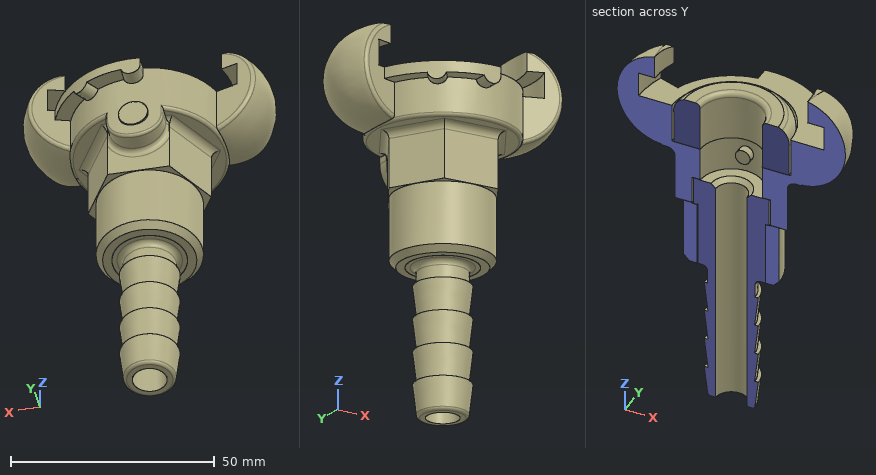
import cadquery as cq
import math

COLLAR_BOTTOM_Z = 39.1
COLLAR_TOP_Z = 57.0
PIN_Z = 70.2
DRUM_BOTTOM_Z = 71.8
FLANGE_TOP_Z = 84.9
SEAL_TOP_Z = 87.7
CLAW_TOP_Z = 98.0

PICK_MARGIN = 0.1

HEX_ACROSS_FLATS = 26.9
DRUM_RADIUS = 19.7
DRUM_EDGE_FILLET = 0.9
HEX_NECK_FILLET = 2.0
RIM_RADIUS = 23.5
RIM_THICKNESS = 3.0
NUB_RADIUS = 2.45
NUB_DROP = 1.8
NUB_ANGLES = (0, -35)

SEAL_RECESS_RADIUS = 16.3
SEAL_RECESS_DEPTH = 10.8
BORE_RADIUS = 8.48
TAIL_SEAT_RADIUS = 10.73
TAIL_TOP_Z = 64.7

CLAW_ARC_RADIUS = 13.1
CLAW_ARC_Z = 85.2
CLAW_REACH = 31.5
CLAW_ARC_X = CLAW_REACH - CLAW_ARC_RADIUS
CLAW_BARREL_RADIUS = 17.6
CLAW_BARREL_X = CLAW_REACH - CLAW_BARREL_RADIUS
CLAW_HALF_ANGLE = 17.2
CLAW_WEDGE_APEX_X = -5.2
CLAW_ROOT_X = 16.2
CLAW_EDGE_FILLET = 1.0
CLAW_CROWN_RADIUS = 21.6
CLAW_TIP_RADIUS = 21.0
CLAW_SLOT_RADIUS = 25.4
CLAW_SLOT_HEIGHT = 6.7

BOSS_RADIUS = 7.2
BOSS_FACE_RADIUS = DRUM_RADIUS
BOSS_EDGE_FILLET = 0.7
BOSS_ROOT_FILLET = 1.5
PIN_RADIUS = 2.01
PIN_TIP_Y = 6.3
PIN_HEAD_RADIUS = 3.675
PIN_HEAD_TOP_Y = 20.0
PIN_HEAD_THICKNESS = 2.0

SEAL_RADIUS = 15.9
SEAL_STRAIGHT_HEIGHT = 8.8
SEAL_FLANGE_RADIUS = 15.7
SEAL_SHOULDER_RADIUS = 14.0
SEAL_SHOULDER_Z = 87.1
SEAL_FACE_RADIUS = 12.9
SEAL_MOUTH_FILLET = 1.4

COLLAR_RADIUS = 13.2
COLLAR_BORE_RADIUS = 9.3
COLLAR_CHAMFER = 1.7

TAIL_FLANGE_RADIUS = 10.5
TAIL_SHANK_RADIUS = 9.26
NECK_RADIUS = 6.6
NECK_FILLET = 1.5
BARB_COUNT = 4
BARB_PITCH = 8.5
BARB_TOP_RADIUS = 7.5
BARB_END_RADIUS = 6.5
TAIL_BORE_RADIUS = 4.26
TAIL_MOUTH_RADIUS = 5.5
TAIL_END_FILLET = 0.9


def disc(radius, bottom_z, top_z):
    """Cylinder on the main axis between two heights."""
    return cq.Workplane("XY").workplane(offset=bottom_z).circle(radius).extrude(top_z - bottom_z)


def rod(radius, start_y, end_y):
    """Cylinder along +Y at pin height."""
    plane = cq.Plane(origin=(0, start_y, PIN_Z), xDir=(1, 0, 0), normal=(0, 1, 0))
    return cq.Workplane(plane).circle(radius).extrude(end_y - start_y)


def opposite(shape):
    """The same shape turned half a turn about the main axis."""
    return shape.rotate((0, 0, 0), (0, 0, 1), 180)


def make_hex_and_drum():
    """Hexagon below the drum, with a filleted neck and a rounded lower drum edge."""
    corner_diameter = HEX_ACROSS_FLATS / math.cos(math.radians(30))
    hexagon = (
        cq.Workplane("XY")
        .workplane(offset=COLLAR_TOP_Z)
        .polygon(6, corner_diameter)
        .extrude(DRUM_BOTTOM_Z - COLLAR_TOP_Z)
    )
    drum = disc(DRUM_RADIUS, DRUM_BOTTOM_Z, FLANGE_TOP_Z).faces("<Z").edges().fillet(DRUM_EDGE_FILLET)
    blank = hexagon.union(drum)
    neck = cq.selectors.BoxSelector(
        (-corner_diameter, -corner_diameter, DRUM_BOTTOM_Z - PICK_MARGIN),
        (corner_diameter, corner_diameter, DRUM_BOTTOM_Z + PICK_MARGIN),
    )
    return blank.edges(neck).edges("%LINE").fillet(HEX_NECK_FILLET)


def make_boss():
    """Boss for the pin: half-round below, straight-sided up into the drum, its face as round as the drum.

    Its rounded root stops at the sides of the hexagon face that it stands on.
    """
    root_y = HEX_ACROSS_FLATS / 2
    top_z = DRUM_BOTTOM_Z + 2 * DRUM_EDGE_FILLET
    height = top_z - PIN_Z
    plane = cq.Plane(origin=(0, 0, PIN_Z), xDir=(-1, 0, 0), normal=(0, 1, 0))
    boss = (
        cq.Workplane(plane)
        .moveTo(-BOSS_RADIUS, height)
        .lineTo(-BOSS_RADIUS, 0)
        .threePointArc((0, -BOSS_RADIUS), (BOSS_RADIUS, 0))
        .lineTo(BOSS_RADIUS, height)
        .close()
        .extrude(RIM_RADIUS)
        .intersect(disc(BOSS_FACE_RADIUS, 0, top_z))
    )
    below_top = cq.selectors.BoxSelector(
        (-RIM_RADIUS, root_y, 0), (RIM_RADIUS, RIM_RADIUS, top_z - PICK_MARGIN)
    )
    boss = boss.edges(below_top).edges(">Y").fillet(BOSS_EDGE_FILLET)
    pad_depth = root_y - BORE_RADIUS
    pad = (
        cq.Workplane("XY")
        .box(4 * BOSS_RADIUS, pad_depth, top_z - COLLAR_TOP_Z, centered=(True, False, False))
        .translate((0, BORE_RADIUS, COLLAR_TOP_Z))
    )
    boss = pad.union(boss.cut(rod(4 * BOSS_RADIUS, 0, BORE_RADIUS)))
    root_edges = cq.selectors.BoxSelector(
        (-BOSS_RADIUS - PICK_MARGIN, root_y - PICK_MARGIN, COLLAR_TOP_Z + PICK_MARGIN),
        (BOSS_RADIUS + PICK_MARGIN, root_y + PICK_MARGIN, top_z - PICK_MARGIN),
    )
    boss = boss.edges(root_edges).fillet(BOSS_ROOT_FILLET)
    hex_side = HEX_ACROSS_FLATS * math.tan(math.radians(30))
    return boss.intersect(cq.Workplane("XY").box(hex_side, 4 * RIM_RADIUS, 2 * top_z))


def make_nub(angle):
    """Round-bottomed nub under the rim, pointing along -Y and then turned about the main axis."""
    centre_z = FLANGE_TOP_Z - RIM_THICKNESS - NUB_DROP + NUB_RADIUS
    nub = (
        cq.Workplane("XZ")
        .workplane(offset=SEAL_RECESS_RADIUS)
        .moveTo(-NUB_RADIUS, FLANGE_TOP_Z)
        .lineTo(-NUB_RADIUS, centre_z)
        .threePointArc((0, centre_z - NUB_RADIUS), (NUB_RADIUS, centre_z))
        .lineTo(NUB_RADIUS, FLANGE_TOP_Z)
        .close()
        .extrude(RIM_RADIUS - SEAL_RECESS_RADIUS)
    )
    nub = nub.intersect(disc(RIM_RADIUS, 0, FLANGE_TOP_Z))
    return nub.rotate((0, 0, 0), (0, 0, 1), angle)


def make_rim_sector():
    """Locking rim from the -X claw to the -Y direction, with its nubs; the first nub rounds off its end."""
    quarter = (
        cq.Workplane("XY")
        .box(RIM_RADIUS, RIM_RADIUS, FLANGE_TOP_Z, centered=False)
        .translate((-RIM_RADIUS, -RIM_RADIUS, 0))
    )
    sector = disc(RIM_RADIUS, FLANGE_TOP_Z - RIM_THICKNESS, FLANGE_TOP_Z).intersect(quarter)
    for angle in NUB_ANGLES:
        sector = sector.union(make_nub(angle))
    return sector


def make_claw():
    """Claw on the +X side: a barrel-shaped hook cut to a wedge, hollowed by its tip and slot."""
    arc_offset = CLAW_ARC_X - CLAW_BARREL_X
    axis_rise = math.sqrt(CLAW_ARC_RADIUS**2 - arc_offset**2)
    barrel = (
        cq.Workplane("XZ")
        .moveTo(0, -axis_rise)
        .threePointArc((CLAW_BARREL_RADIUS, 0), (0, axis_rise))
        .close()
        .revolve(360, (0, 0, 0), (0, 1, 0))
        .translate((CLAW_BARREL_X, 0, CLAW_ARC_Z))
    )
    slope = math.tan(math.radians(CLAW_HALF_ANGLE))
    root_half_width = (CLAW_ROOT_X - CLAW_WEDGE_APEX_X) * slope
    outer_half_width = (CLAW_REACH - CLAW_WEDGE_APEX_X) * slope
    wedge = (
        cq.Workplane("XY")
        .polyline([
            (CLAW_ROOT_X, -root_half_width),
            (CLAW_REACH, -outer_half_width),
            (CLAW_REACH, outer_half_width),
            (CLAW_ROOT_X, root_half_width),
        ])
        .close()
        .extrude(CLAW_TOP_Z + CLAW_ARC_RADIUS)
    )
    outer_edges = cq.selectors.BoxSelector(
        (CLAW_TIP_RADIUS, -outer_half_width, 0), (CLAW_REACH, outer_half_width, CLAW_TOP_Z)
    )
    claw = barrel.intersect(wedge).edges(outer_edges).fillet(CLAW_EDGE_FILLET)
    crown = (
        cq.Workplane("YZ")
        .center(0, CLAW_TOP_Z - CLAW_CROWN_RADIUS)
        .circle(CLAW_CROWN_RADIUS)
        .extrude(CLAW_REACH)
    )
    slot_top_z = FLANGE_TOP_Z + CLAW_SLOT_HEIGHT
    return (
        claw.intersect(crown)
        .cut(disc(CLAW_TIP_RADIUS, FLANGE_TOP_Z, CLAW_TOP_Z))
        .cut(disc(CLAW_SLOT_RADIUS, FLANGE_TOP_Z, slot_top_z))
    )


def make_body():
    """Coupling body with its boss, rim sectors, claws and bores."""
    body = make_hex_and_drum().union(make_boss())
    sector = make_rim_sector()
    claw = make_claw()
    for feature in (sector, claw):
        body = body.union(feature).union(opposite(feature))
    return (
        body.cut(disc(SEAL_RECESS_RADIUS, FLANGE_TOP_Z - SEAL_RECESS_DEPTH, FLANGE_TOP_Z))
        .cut(disc(BORE_RADIUS, COLLAR_TOP_Z, FLANGE_TOP_Z))
        .cut(disc(TAIL_SEAT_RADIUS, COLLAR_TOP_Z, TAIL_TOP_Z))
        .cut(make_pin())
    )


def make_pin():
    """Headed pin pressed in through the boss, its tip standing in the bore."""
    shank = rod(PIN_RADIUS, PIN_TIP_Y, PIN_HEAD_TOP_Y)
    head = rod(PIN_HEAD_RADIUS, PIN_HEAD_TOP_Y - PIN_HEAD_THICKNESS, PIN_HEAD_TOP_Y)
    return shank.union(head)


def make_seal():
    """Domed ring seal standing in the recess of the drum."""
    bottom_z = FLANGE_TOP_Z - SEAL_RECESS_DEPTH
    return (
        cq.Workplane("XZ")
        .moveTo(BORE_RADIUS, bottom_z)
        .lineTo(SEAL_RADIUS, bottom_z)
        .lineTo(SEAL_RADIUS, bottom_z + SEAL_STRAIGHT_HEIGHT)
        .threePointArc((SEAL_FLANGE_RADIUS, FLANGE_TOP_Z), (SEAL_SHOULDER_RADIUS, SEAL_SHOULDER_Z))
        .lineTo(SEAL_FACE_RADIUS, SEAL_TOP_Z)
        .lineTo(BORE_RADIUS + SEAL_MOUTH_FILLET, SEAL_TOP_Z)
        .radiusArc((BORE_RADIUS, SEAL_TOP_Z - SEAL_MOUTH_FILLET), -SEAL_MOUTH_FILLET)
        .close()
        .revolve(360, (0, 0, 0), (0, 1, 0))
    )


def make_collar():
    """Plain collar under the hexagon, holding the flange of the hose tail."""
    collar = disc(COLLAR_RADIUS, COLLAR_BOTTOM_Z, COLLAR_TOP_Z)
    collar = collar.faces("<Z").edges().chamfer(COLLAR_CHAMFER)
    return collar.cut(disc(COLLAR_BORE_RADIUS, COLLAR_BOTTOM_Z, COLLAR_TOP_Z))


def make_barb(bottom_z):
    """One barb: a cone frustum that narrows downwards."""
    return (
        cq.Workplane("XY")
        .workplane(offset=bottom_z)
        .circle(BARB_END_RADIUS)
        .workplane(offset=BARB_PITCH)
        .circle(BARB_TOP_RADIUS)
        .loft()
    )


def make_tail():
    """Hose tail: flange, shank, neck and barbs around a bore with a conical mouth."""
    shank = disc(TAIL_SHANK_RADIUS, COLLAR_BOTTOM_Z, COLLAR_TOP_Z)
    neck = disc(NECK_RADIUS, BARB_COUNT * BARB_PITCH, COLLAR_BOTTOM_Z)
    tail = shank.union(neck)
    tail = tail.edges(cq.selectors.RadiusNthSelector(0)).edges(">Z").fillet(NECK_FILLET)
    tail = tail.union(disc(TAIL_FLANGE_RADIUS, COLLAR_TOP_Z, TAIL_TOP_Z))
    for index in range(BARB_COUNT):
        tail = tail.union(make_barb(index * BARB_PITCH))
    tail = tail.faces("<Z").edges().fillet(TAIL_END_FILLET)
    tail = tail.cut(disc(TAIL_BORE_RADIUS, 0, TAIL_TOP_Z))
    return tail.faces(">Z").edges("%CIRCLE").edges(cq.selectors.RadiusNthSelector(0)).chamfer(
        TAIL_MOUTH_RADIUS - TAIL_BORE_RADIUS
    )


body = make_body()
pin = make_pin()
seal = make_seal()
collar = make_collar()
tail = make_tail()

result = cq.Compound.makeCompound([body.val(), pin.val(), seal.val(), collar.val(), tail.val()])